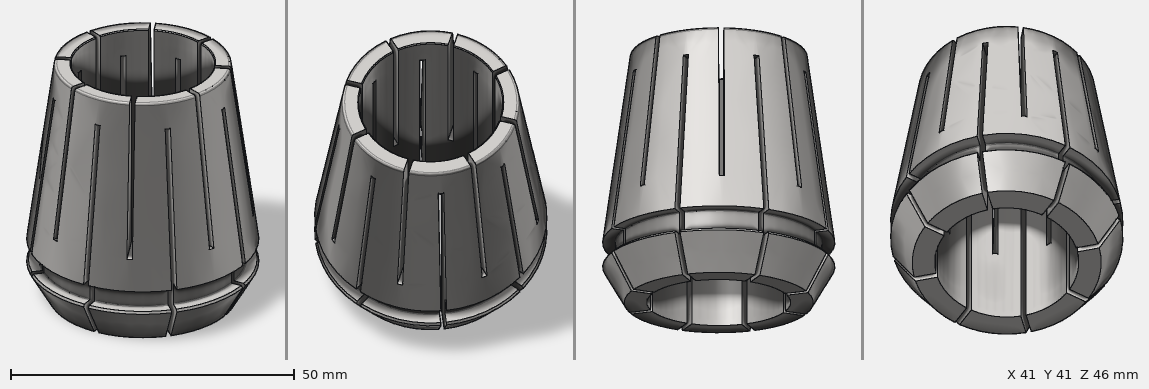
import cadquery as cq
import math

height = 46.0
outer_diameter = 41.0
bore_diameter = 25.4
outer_radius = outer_diameter / 2
bore_radius = bore_diameter / 2

cone_half_angle = 8.0
cone_base_z = 11.1
cone_tip_radius = outer_radius - (height - cone_base_z) * math.tan(math.radians(cone_half_angle))
tip_fillet = 0.45
bore_mouth_chamfer = 0.2

groove_radius = 18.2
groove_fillet = 0.15

nose_half_angle = 30.0
nose_top_z = 7.05
nose_chamfer_width = 0.3
nose_chamfer_height = 0.4
nose_edge_z = nose_top_z - nose_chamfer_height
nose_base_radius = outer_radius - nose_edge_z * math.tan(math.radians(nose_half_angle))

slits_per_end = 8
slit_pitch = 360 / slits_per_end
slit_width = 0.95
lower_slit_top_z = 41.0
upper_slit_bottom_z = 17.0


def turned_blank():
    """Revolve the sharp-edged half section of the sleeve about the Z axis."""
    section = [
        (bore_radius, 0),
        (nose_base_radius, 0),
        (outer_radius, nose_edge_z),
        (outer_radius - nose_chamfer_width, nose_top_z),
        (groove_radius, nose_top_z),
        (groove_radius, cone_base_z),
        (outer_radius, cone_base_z),
        (cone_tip_radius, height),
        (bore_radius + bore_mouth_chamfer, height),
        (bore_radius, height - bore_mouth_chamfer),
    ]
    return cq.Workplane("XZ").polyline(section).close().revolve(360, (0, 0), (0, 1))


def round_tip(body):
    """Round the outer rim of the top face."""
    outer_rim = cq.selectors.RadiusNthSelector(-1)
    return body.faces(">Z").edges(outer_rim).fillet(tip_fillet)


def round_groove(body):
    """Round both inner corners of the extraction groove."""
    groove_band = cq.selectors.BoxSelector(
        (-outer_diameter, -outer_diameter, nose_top_z - groove_fillet),
        (outer_diameter, outer_diameter, cone_base_z + groove_fillet),
    )
    smallest_circles = cq.selectors.RadiusNthSelector(0)
    corners = body.edges(groove_band).edges("%CIRCLE").edges(smallest_circles)
    return corners.fillet(groove_fillet)


def radial_slits(bottom_z, top_z, first_angle):
    """Return a ring of thin blades that cross the axis and reach past the outside."""
    blade = (
        cq.Workplane("XY", origin=(0, 0, bottom_z))
        .rect(outer_diameter + slit_width, slit_width)
        .extrude(top_z - bottom_z)
    )
    blades = blade.rotate((0, 0, 0), (0, 0, 1), first_angle)
    for index in range(1, slits_per_end // 2):
        angle = first_angle + index * slit_pitch
        blades = blades.union(blade.rotate((0, 0, 0), (0, 0, 1), angle))
    return blades


lower_slits = radial_slits(0, lower_slit_top_z, 0)
upper_slits = radial_slits(upper_slit_bottom_z, height, slit_pitch / 2)

sleeve = round_groove(round_tip(turned_blank()))
result = sleeve.cut(lower_slits).cut(upper_slits)